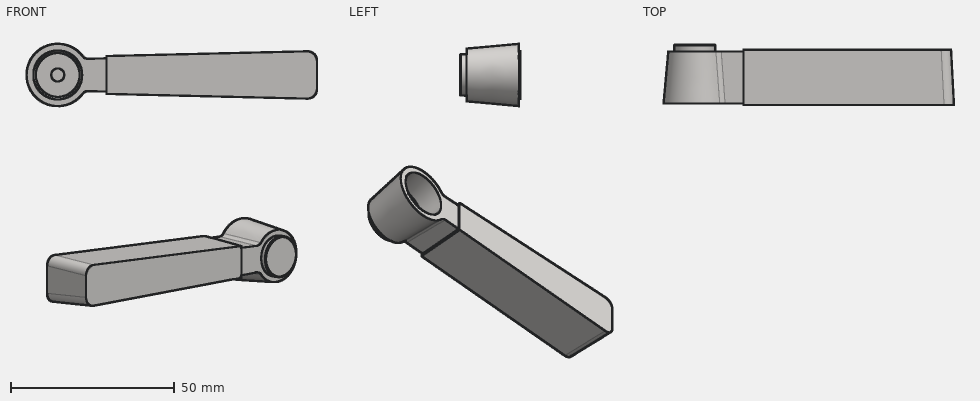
import cadquery as cq


hub_front_radius = 9.58
hub_back_radius = 8.12
hub_length = 16.0
bore_front_radius = 7.5
bore_floor_radius = 6.7
bore_depth = 8.0
web_thickness = 2.0

insert_radius = 12.7 / 2
insert_stand_out = 2.0
insert_chamfer = 0.25
pin_radius = 4.0 / 2

grip_start = 14.85
grip_end = 79.32
grip_start_half_height = 5.825
grip_end_half_height = 7.35
grip_overhang = 0.5
grip_corner_radius = 3.0

neck_step = 0.7
neck_fillet = 2.0

draft = 3.0

front_y = -hub_length / 2
back_y = hub_length / 2
bore_floor_y = front_y + bore_depth
insert_seat_y = bore_floor_y + web_thickness
insert_back_y = back_y + insert_stand_out

side_slope = (grip_end_half_height - grip_start_half_height) / (grip_end - grip_start)


def cone(start_y, start_radius, end_y, end_radius):
    """Solid of revolution about the Y axis."""
    profile = [(0, start_y), (start_radius, start_y), (end_radius, end_y), (0, end_y)]
    return cq.Workplane("XY").polyline(profile).close().revolve(360, (0, 0), (0, 1))


def cylinder(radius, start_y, end_y):
    return cone(start_y, radius, end_y, radius)


def half_height(x):
    """Half the grip's height at the front face, its sloping sides extended to any x."""
    return grip_start_half_height + side_slope * (x - grip_start)


def drafted_bar(start_x, end_x, step, start_y, end_y):
    """Wedge-shaped bar, lower than the grip by the step on each side, with all its sides drafted."""
    start_half = half_height(start_x) - step
    end_half = half_height(end_x) - step
    outline = [(start_x, -start_half), (end_x, -end_half), (end_x, end_half), (start_x, start_half)]
    front_plane = cq.Plane(origin=(0, start_y, 0), xDir=(1, 0, 0), normal=(0, 1, 0))
    return cq.Workplane(front_plane).polyline(outline).close().extrude(end_y - start_y, taper=draft)


def split_at_grip_start(bar):
    """Cut square across where the neck meets the grip; gives the neck side and the grip side."""
    size = 2 * grip_end
    far_side = cq.Workplane("XY").box(size, size, size).translate((grip_start + size / 2, 0, 0))
    return bar.cut(far_side), bar.intersect(far_side)


def make_lever():
    hub = cone(front_y, hub_front_radius, back_y, hub_back_radius)
    long_neck = drafted_bar(0, grip_end, neck_step, front_y, back_y)
    neck, _ = split_at_grip_start(long_neck)
    lever = hub.union(neck)

    corner_min_x = hub_front_radius / 2
    near_corners = cq.selectors.BoxSelector(
        (corner_min_x, -1, -hub_front_radius), (hub_front_radius, 1, hub_front_radius)
    )
    lever = lever.edges(near_corners).fillet(neck_fillet)

    bore = cone(front_y, bore_front_radius, bore_floor_y, bore_floor_radius)
    insert_seat = cylinder(insert_radius, insert_seat_y, back_y)
    pin_hole = cylinder(pin_radius, bore_floor_y, insert_seat_y)
    return lever.cut(bore).cut(insert_seat).cut(pin_hole)


def make_grip():
    long_grip = drafted_bar(0, grip_end, 0, front_y - grip_overhang, back_y + grip_overhang)
    _, grip = split_at_grip_start(long_grip)
    end_corners = cq.selectors.BoxSelector(
        (grip_end - grip_corner_radius, -1, -grip_end_half_height), (grip_end, 1, grip_end_half_height)
    )
    return grip.edges(end_corners).fillet(grip_corner_radius)


def make_insert():
    body = cylinder(insert_radius, insert_seat_y, insert_back_y)
    body = body.faces(">Y").chamfer(insert_chamfer)
    return body.cut(cylinder(pin_radius, insert_seat_y, back_y))


def make_pin():
    """Pin flush with the bore floor, ending blind inside the insert."""
    return cylinder(pin_radius, bore_floor_y, back_y)


lever = make_lever().solids()
grip = make_grip().solids()
insert = make_insert().solids()
pin = make_pin().solids()

result = cq.Compound.makeCompound([lever.val(), grip.val(), insert.val(), pin.val()])